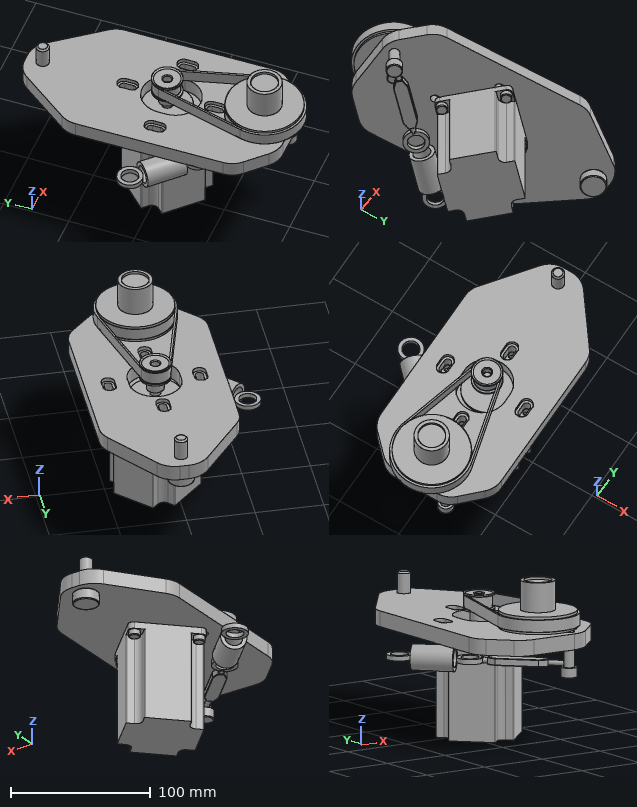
import math

import cadquery as cq


plate_thickness = 11.7
plate_half_width = 51.0
plate_top_y = 107.9
plate_bottom_y = -95.0
plate_top_half_flat = 12.7
plate_bottom_half_flat = 25.5
plate_upper_corner_y = 57.5
plate_lower_corner_y = -69.5
plate_corner_radius = 19.1

slot_travel = 6.4
slot_width = 5.7
slot_recess_width = 9.5
slot_recess_depth = 3.0
pilot_clearance = 0.2

bolt_circle_radius = 33.3
pilot_diameter = 37.8
pilot_height = 1.7
flange_side = 57.0
flange_thickness = 5.0
flange_corner_radius = 4.0
case_face_half_width = 17.2
case_notch_radius = 5.0
case_edge_radius = 0.75
motor_length = 75.6
bolt_hole_diameter = 5.0
bolt_boss_diameter = 8.5
bolt_boss_height = 4.5
bolt_boss_chamfer = 0.6
shaft_diameter = 7.9
shaft_top_z = 21.0

belt_bottom_z = plate_thickness + 5.7
belt_width = 9.0
belt_thickness = 1.5
small_rim_diameter = 19.1
small_flange_diameter = 22.7
small_flange_flat_diameter = 19.8
small_flange_thickness = 1.3
small_flange_dish = 0.6
small_bore_diameter = 6.4
small_bore_chamfer = 0.75
small_hub_diameter = 12.7
small_hub_bottom_z = 6.2
large_pulley_y = -74.3
large_rim_diameter = 57.3
large_disc_diameter = 56.7
large_disc_overhang = 2.0
large_hub_diameter = 14.7
large_axle_diameter = 9.5
large_axle_drop = 1.3
large_axle_chamfer = 0.6
post_diameter = 25.3
post_top_z = plate_thickness + 38.2
post_recess_diameter = 20.0
post_recess_depth = 2.0

pivot_y = 95.1
pivot_diameter = 9.5
pivot_top_z = plate_thickness + 16.0
pivot_tip_chamfer = 1.3
pivot_collar_diameter = 16.5
pivot_collar_height = 1.0
pivot_head_diameter = 19.1
pivot_head_height = 7.9
screw_head_chamfer = 0.6

anchor_x = 19.1
anchor_y = -85.8
anchor_diameter = 7.9
anchor_head_diameter = 11.9
anchor_head_top_z = -14.0
anchor_head_height = 7.6
tensioner_z = -11.5
tensioner_angle = 135
rod_diameter = 4.0
buckle_center = 37.0
buckle_length = 44.0
buckle_width = 10.6
buckle_end_width = 5.0
buckle_taper_length = 6.2
buckle_thickness = 5.3
buckle_chamfer = 0.5
ring_outer_diameter = 19.1
ring_inner_diameter = 12.7
ring_thickness = 3.6
inner_ring_center = 72.0
outer_ring_x = -66.7
outer_ring_y = 3.6
tube_outer_diameter = 19.1
tube_inner_diameter = 13.2
tube_length = 31.0
tube_start_x = -38.7
tube_start_y = -25.7

case_half_side = flange_side / 2
belt_top_z = belt_bottom_z + belt_width
large_disc_bottom_z = belt_bottom_z - large_disc_overhang
large_disc_top_z = belt_top_z + large_disc_overhang
tension_direction = cq.Vector(
    math.cos(math.radians(tensioner_angle)), math.sin(math.radians(tensioner_angle)), 0
)
bolt_positions = [
    (0, bolt_circle_radius),
    (0, -bolt_circle_radius),
    (bolt_circle_radius, 0),
    (-bolt_circle_radius, 0),
]


def cylinder(diameter, bottom_z, top_z, x=0, y=0):
    """Vertical cylinder between two heights."""
    base = cq.Workplane("XY", origin=(x, y, bottom_z))
    return base.circle(diameter / 2).extrude(top_z - bottom_z)


def travel_slot(width, bottom_z, top_z, x=0, y=0):
    """Vertical slot whose upper end is centred on (x, y) and which runs along -Y."""
    base = cq.Workplane("XY", origin=(x, y - slot_travel / 2, bottom_z))
    return base.slot2D(width + slot_travel, width, 90).extrude(top_z - bottom_z)


def make_plate():
    right_side = [
        (plate_top_half_flat, plate_top_y),
        (plate_half_width, plate_upper_corner_y),
        (plate_half_width, plate_lower_corner_y),
        (plate_bottom_half_flat, plate_bottom_y),
    ]
    left_side = [(-x, y) for x, y in reversed(right_side)]
    plate = cq.Workplane("XY").polyline(right_side + left_side).close().extrude(plate_thickness)
    plate = plate.edges("|Z").fillet(plate_corner_radius)

    plate = plate.cut(travel_slot(pilot_diameter + pilot_clearance, 0, plate_thickness))
    recess_floor_z = plate_thickness - slot_recess_depth
    for x, y in bolt_positions:
        plate = plate.cut(travel_slot(slot_width, 0, plate_thickness, x, y))
        plate = plate.cut(travel_slot(slot_recess_width, recess_floor_z, plate_thickness, x, y))

    for diameter, x, y in [
        (pivot_diameter, 0, pivot_y),
        (large_axle_diameter, 0, large_pulley_y),
        (anchor_diameter, anchor_x, anchor_y),
    ]:
        plate = plate.cut(cylinder(diameter, 0, plate_thickness, x, y))
    return plate


def make_motor_case():
    """Square case with a rounded notch cut out of each corner."""
    height = motor_length - flange_thickness
    notch_side = case_half_side - case_face_half_width
    notch_center = case_half_side - notch_side / 2
    case = cq.Workplane("XY", origin=(0, 0, -motor_length))
    case = case.rect(2 * case_half_side, 2 * case_half_side).extrude(height)
    notches = (
        cq.Workplane("XY", origin=(0, 0, -motor_length))
        .rect(2 * notch_center, 2 * notch_center, forConstruction=True)
        .vertices()
        .rect(notch_side, notch_side)
        .extrude(height)
    )
    case = case.cut(notches)
    notch_root = case_face_half_width + case_notch_radius / 2
    near_axis = cq.selectors.BoxSelector(
        (-notch_root, -notch_root, -motor_length),
        (notch_root, notch_root, 0),
    )
    vertical = cq.selectors.ParallelDirSelector(cq.Vector(0, 0, 1))
    case = case.edges(vertical - near_axis).fillet(case_edge_radius)
    return case.edges(vertical & near_axis).fillet(case_notch_radius)


def make_motor():
    flange = cq.Workplane("XY", origin=(0, 0, -flange_thickness))
    flange = flange.rect(flange_side, flange_side).extrude(flange_thickness)
    flange = flange.edges("|Z").fillet(flange_corner_radius)
    motor = flange.union(make_motor_case()).rotate((0, 0, 0), (0, 0, 1), 45)
    motor = motor.union(cylinder(pilot_diameter, 0, pilot_height))
    motor = motor.union(cylinder(shaft_diameter, 0, shaft_top_z))
    boss_bottom_z = -flange_thickness - bolt_boss_height
    for x, y in bolt_positions:
        boss = cylinder(bolt_boss_diameter, boss_bottom_z, -flange_thickness, x, y)
        motor = motor.union(boss.faces("<Z").chamfer(bolt_boss_chamfer))
        motor = motor.cut(cylinder(bolt_hole_diameter, -flange_thickness, 0, x, y))
    return motor


def open_belt(small_radius, large_radius):
    """Solid bounded by an open belt line around both pulley axes."""
    lean = math.asin((large_radius - small_radius) / -large_pulley_y)
    across = math.cos(lean)
    along = math.sin(lean)
    small_x, small_y = small_radius * across, small_radius * along
    large_x, large_y = large_radius * across, large_pulley_y + large_radius * along
    return (
        cq.Workplane("XY", origin=(0, 0, belt_bottom_z))
        .moveTo(small_x, small_y)
        .threePointArc((0, small_radius), (-small_x, small_y))
        .lineTo(-large_x, large_y)
        .threePointArc((0, large_pulley_y - large_radius), (large_x, large_y))
        .close()
        .extrude(belt_width)
    )


def make_belt():
    small_radius = small_rim_diameter / 2
    large_radius = large_rim_diameter / 2
    outside = open_belt(small_radius + belt_thickness, large_radius + belt_thickness)
    return outside.cut(open_belt(small_radius, large_radius))


def dished_flange():
    """Top flange of the small pulley: a flat washer whose rim is bent upwards."""
    flat_radius = small_flange_flat_diameter / 2
    rim_radius = small_flange_diameter / 2
    flat_top_z = belt_top_z + small_flange_thickness
    return (
        cq.Workplane("XZ")
        .moveTo(0, belt_top_z)
        .lineTo(flat_radius, belt_top_z)
        .lineTo(rim_radius, belt_top_z + small_flange_dish)
        .lineTo(rim_radius, flat_top_z + small_flange_dish)
        .lineTo(flat_radius, flat_top_z)
        .lineTo(0, flat_top_z)
        .close()
        .revolve(360, (0, 0, 0), (0, 1, 0))
    )


def make_small_pulley():
    top_flange = dished_flange()
    bottom_flange = top_flange.mirror("XY", (0, 0, (belt_bottom_z + belt_top_z) / 2))
    pulley = cylinder(small_rim_diameter, belt_bottom_z, belt_top_z)
    pulley = pulley.union(top_flange).union(bottom_flange)
    pulley = pulley.union(cylinder(small_hub_diameter, small_hub_bottom_z, belt_bottom_z))
    bore_top_z = belt_top_z + small_flange_thickness
    pulley = pulley.cut(cylinder(small_bore_diameter, small_hub_bottom_z, bore_top_z))
    countersink_radius = small_bore_diameter / 2 + small_bore_chamfer
    countersink = cq.Solid.makeCone(
        small_bore_diameter / 2,
        countersink_radius,
        small_bore_chamfer,
        cq.Vector(0, 0, bore_top_z - small_bore_chamfer),
    )
    pulley = pulley.cut(cq.Workplane(countersink))
    return pulley.cut(cylinder(shaft_diameter, small_hub_bottom_z, shaft_top_z))


def make_large_pulley():
    def step(diameter, bottom_z, top_z):
        return cylinder(diameter, bottom_z, top_z, 0, large_pulley_y)

    axle = step(large_axle_diameter, -large_axle_drop, plate_thickness)
    pulley = axle.faces("<Z").chamfer(large_axle_chamfer)
    pulley = pulley.union(step(large_hub_diameter, plate_thickness, large_disc_bottom_z))
    pulley = pulley.union(step(large_disc_diameter, large_disc_bottom_z, large_disc_top_z))
    pulley = pulley.union(step(large_rim_diameter, belt_bottom_z, belt_top_z))
    pulley = pulley.union(step(post_diameter, large_disc_top_z, post_top_z))
    return pulley.cut(step(post_recess_diameter, post_top_z - post_recess_depth, post_top_z))


def make_belt_drive():
    """Both pulleys and the belt wrapped around them, as one driven unit."""
    return make_small_pulley().union(make_large_pulley()).union(make_belt())


def make_pivot_screw():
    head_top_z = -pivot_collar_height
    head_bottom_z = head_top_z - pivot_head_height
    screw = cylinder(pivot_diameter, 0, pivot_top_z, 0, pivot_y)
    screw = screw.faces(">Z").chamfer(pivot_tip_chamfer)
    screw = screw.union(cylinder(pivot_collar_diameter, head_top_z, 0, 0, pivot_y))
    head = cylinder(pivot_head_diameter, head_bottom_z, head_top_z, 0, pivot_y)
    return screw.union(head.faces("<Z").chamfer(screw_head_chamfer))


def ring(x, y):
    """Flat eye ring lying in the plane of the tensioner."""
    base = cq.Workplane("XY", origin=(x, y, tensioner_z - ring_thickness / 2))
    return base.circle(ring_outer_diameter / 2).circle(ring_inner_diameter / 2).extrude(ring_thickness)


def tension_plane(x, y):
    """Plane facing along the tensioner line."""
    return cq.Plane(origin=(x, y, tensioner_z), xDir=(0, 0, 1), normal=tension_direction.toTuple())


def make_turnbuckle():
    """Anchor screw, tie rod, turnbuckle body and the eye ring at its far end."""
    head_bottom_z = anchor_head_top_z - anchor_head_height
    screw = cylinder(anchor_diameter, anchor_head_top_z, plate_thickness, anchor_x, anchor_y)
    head = cylinder(anchor_head_diameter, head_bottom_z, anchor_head_top_z, anchor_x, anchor_y)
    head = head.faces("<Z").chamfer(screw_head_chamfer)

    rod_length = inner_ring_center - (ring_outer_diameter + ring_inner_diameter) / 4
    rod = cq.Workplane(tension_plane(anchor_x, anchor_y)).circle(rod_diameter / 2).extrude(rod_length)

    half_length = buckle_length / 2
    shoulder = half_length - buckle_taper_length
    upper_side = [
        (-half_length, buckle_end_width / 2),
        (-shoulder, buckle_width / 2),
        (shoulder, buckle_width / 2),
        (half_length, buckle_end_width / 2),
    ]
    lower_side = [(x, -y) for x, y in reversed(upper_side)]
    anchor = cq.Vector(anchor_x, anchor_y, tensioner_z)
    buckle_origin = anchor + tension_direction * buckle_center
    buckle_plane = cq.Plane(origin=buckle_origin.toTuple(), xDir=tension_direction.toTuple())
    buckle = cq.Workplane(buckle_plane).polyline(upper_side + lower_side).close()
    buckle = buckle.extrude(buckle_thickness / 2, both=True)
    buckle = buckle.faces("|Z").edges().chamfer(buckle_chamfer)

    eye = anchor + tension_direction * inner_ring_center
    return screw.union(head).union(rod).union(buckle).union(ring(eye.x, eye.y))


def make_spring_tube():
    base = cq.Workplane(tension_plane(tube_start_x, tube_start_y))
    return base.circle(tube_outer_diameter / 2).circle(tube_inner_diameter / 2).extrude(tube_length)


plate = make_plate()
motor = make_motor()
belt_drive = make_belt_drive()
pivot_screw = make_pivot_screw()
turnbuckle = make_turnbuckle()
spring_tube = make_spring_tube()
end_ring = ring(outer_ring_x, outer_ring_y)

result = cq.Compound.makeCompound(
    [
        plate.val(),
        motor.val(),
        belt_drive.val(),
        pivot_screw.val(),
        turnbuckle.val(),
        spring_tube.val(),
        end_ring.val(),
    ]
)